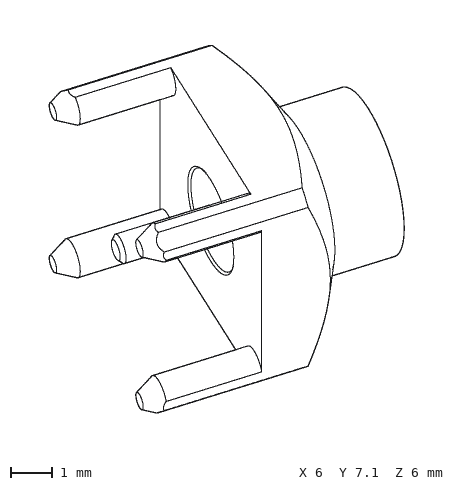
import cadquery as cq
import math

length = 7.1
body_width = 6.0
corner_radius = 4.005

base_y = 2.99
shoulder_y = 5.29
barrel_radius = 2.115
shoulder_angle = 30.0

leg_radius = 0.49
leg_tip_radius = 0.22
leg_tip_length = 0.5
leg_offset = 2.55

contact_radius = 0.37
contact_end_y = 0.51
contact_chamfer = 0.11

recess_radius = 1.355
recess_floor_radius = 1.3
recess_depth = 0.06


def revolve_about_y(profile):
    """Turn a closed (radius, y) profile about the connector axis."""
    return cq.Workplane("XY").polyline(profile).close().revolve(360, (0, 0, 0), (0, 1, 0))


def outer_envelope():
    """Full-length square bar whose four long edges are turned to the corner radius."""
    bar = cq.Workplane("XY").box(body_width, length, body_width, centered=(True, False, True))
    turned_bar = revolve_about_y([(0, 0), (corner_radius, 0), (corner_radius, length), (0, length)])
    return bar.intersect(turned_bar)


def turned_body():
    """Barrel and conical shoulder, flaring out to the corner radius."""
    flare_drop = (corner_radius - barrel_radius) * math.tan(math.radians(shoulder_angle))
    return revolve_about_y([
        (0, base_y),
        (corner_radius, base_y),
        (corner_radius, shoulder_y - flare_drop),
        (barrel_radius, shoulder_y),
        (barrel_radius, length),
        (0, length),
    ])


def leg(x, z):
    """Round leg with a conical tip, rooted in the base of the body."""
    profile = [
        (0, 0),
        (leg_tip_radius, 0),
        (leg_radius, leg_tip_length),
        (leg_radius, base_y),
        (0, base_y),
    ]
    return revolve_about_y(profile).translate((x, 0, z))


def recess():
    """Tapered circular recess in the base face."""
    return revolve_about_y([
        (0, base_y),
        (recess_radius, base_y),
        (recess_floor_radius, base_y + recess_depth),
        (0, base_y + recess_depth),
    ])


def contact():
    """Centre pin with a chamfered end, rooted in the recess floor."""
    return revolve_about_y([
        (0, contact_end_y),
        (contact_radius - contact_chamfer, contact_end_y),
        (contact_radius, contact_end_y + contact_chamfer),
        (contact_radius, base_y + recess_depth),
        (0, base_y + recess_depth),
    ])


body = turned_body()
for x_side in (-1, 1):
    for z_side in (-1, 1):
        body = body.union(leg(x_side * leg_offset, z_side * leg_offset))

result = body.intersect(outer_envelope()).cut(recess()).union(contact())